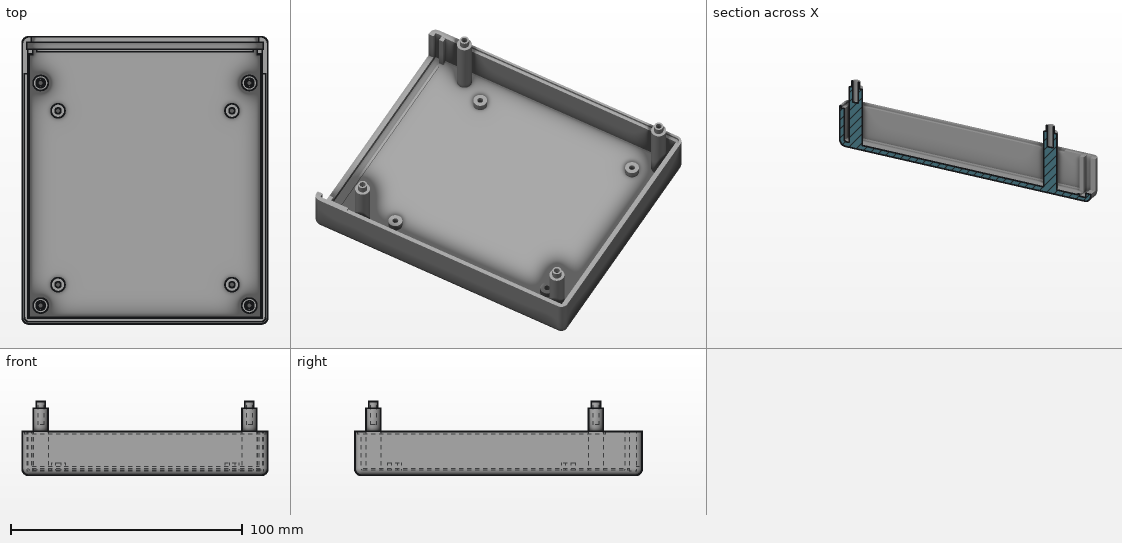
import cadquery as cq

LENGTH_X = 106.0
LENGTH_Y = 124.0
RIM_Z = 19.0
CORNER_R = 3.0

WALL = 2.5
FLOOR_Z = 2.5
FLOOR_CHAMFER = 0.5

RIM_LIP = 1.0
RABBET_DEPTH = 1.0
RABBET_END_Y = 46.0

OPENING_X = 98.0
SILL_Z = 4.0
SLOT_X = 102.0
SLOT_WIDTH = 3.0
SLOT_Z = FLOOR_Z - 0.5

GUIDE_X = 2.0
GUIDE_Y = 2.0
GUIDE_Z = RIM_Z - 0.1
GUIDE_FOOT = 0.3

LIP_X = 93.4
LIP_Y = 1.0
LIP_Z = FLOOR_Z + 0.5

POST_D = 6.5
POST_Z = 29.0
PIN_D = 4.0
PIN_Z = 32.0
POST_X = 45.0
POST_Y = (-54.0, 42.0)

BOSS_D = 6.0
BOSS_Z = FLOOR_Z + 3.0
BOSS_X = 37.5
BOSS_Y = (-45.0, 30.0)

HOLE_D = 2.5
PIN_HOLE_DEPTH = 10.0

BACK_Y = LENGTH_Y / 2
FRONT_Y = -BACK_Y
CAVITY_X = LENGTH_X - 2 * WALL
CAVITY_FRONT_Y = FRONT_Y + WALL
SLOT_BACK_Y = BACK_Y - WALL
SLOT_FRONT_Y = SLOT_BACK_Y - SLOT_WIDTH
GUIDE_FRONT_Y = SLOT_FRONT_Y - GUIDE_Y


def block(x_size, y_min, y_max, z_min, z_max):
    """Box centered on the YZ plane, spanning the given Y and Z ranges."""
    corner = cq.Workplane("XY", origin=(0, y_min, z_min))
    return corner.box(x_size, y_max - y_min, z_max - z_min, centered=(True, False, False))


def tray_blank():
    """Solid outer block with round vertical corners and a round bottom edge."""
    blank = block(LENGTH_X, FRONT_Y, BACK_Y, 0, RIM_Z)
    return blank.edges("|Z").fillet(CORNER_R).faces("<Z").edges().fillet(CORNER_R)


def cavity():
    """Inner space in front of the slot, chamfered where the front and side walls meet the floor."""
    space = block(CAVITY_X, CAVITY_FRONT_Y, SLOT_FRONT_Y, FLOOR_Z, RIM_Z)
    return space.faces("<Z").edges("<X or >X or <Y").chamfer(FLOOR_CHAMFER)


def panel_guide(side):
    """Upright bar on a side wall, in front of the slot, with a chamfered foot."""
    profile = [
        (SLOT_FRONT_Y, FLOOR_Z),
        (GUIDE_FRONT_Y - GUIDE_FOOT, FLOOR_Z),
        (GUIDE_FRONT_Y, FLOOR_Z + GUIDE_FOOT),
        (GUIDE_FRONT_Y, GUIDE_Z),
        (SLOT_FRONT_Y, GUIDE_Z),
    ]
    inner_x = CAVITY_X / 2 - GUIDE_X
    bar = cq.Workplane("YZ", origin=(inner_x, 0, 0)).polyline(profile).close().extrude(GUIDE_X)
    return bar if side > 0 else bar.mirror("YZ")


def rabbet():
    """Step along the inside of the rim on the front wall and most of the side walls."""
    width = LENGTH_X - 2 * RIM_LIP
    inset = block(width, FRONT_Y + RIM_LIP, RABBET_END_Y, RIM_Z - RABBET_DEPTH, RIM_Z)
    return inset.edges("|Z and <Y").fillet(CORNER_R - RIM_LIP)


def panel_slot():
    """Slot for a rear panel and the opening above the rear sill."""
    slot = block(SLOT_X, SLOT_FRONT_Y, SLOT_BACK_Y, SLOT_Z, RIM_Z)
    return slot.union(block(OPENING_X, SLOT_BACK_Y, BACK_Y, SILL_Z, RIM_Z))


def slot_lip():
    """Low rib on the floor along the front of the slot."""
    return block(LIP_X, SLOT_FRONT_Y - LIP_Y, SLOT_FRONT_Y, FLOOR_Z, LIP_Z)


def cylinders(diameter, z_min, z_max, x_offset, y_positions):
    """Four upright cylinders, mirrored about the YZ plane."""
    centers = [(side * x_offset, y) for side in (-1, 1) for y in y_positions]
    return (
        cq.Workplane("XY", origin=(0, 0, z_min))
        .pushPoints(centers)
        .circle(diameter / 2)
        .extrude(z_max - z_min)
    )


def posts():
    """Tall posts, each with a thinner pin on top."""
    columns = cylinders(POST_D, FLOOR_Z, POST_Z, POST_X, POST_Y)
    return columns.union(cylinders(PIN_D, FLOOR_Z, PIN_Z, POST_X, POST_Y))


def bosses():
    """Low screw bosses on the floor."""
    return cylinders(BOSS_D, FLOOR_Z, BOSS_Z, BOSS_X, BOSS_Y)


def screw_holes():
    """Blind holes in the pins, and holes down to the floor in the bosses."""
    pin_holes = cylinders(HOLE_D, PIN_Z - PIN_HOLE_DEPTH, PIN_Z, POST_X, POST_Y)
    boss_holes = cylinders(HOLE_D, FLOOR_Z, BOSS_Z, BOSS_X, BOSS_Y)
    return pin_holes.union(boss_holes)


tray = tray_blank().cut(cavity()).cut(rabbet()).cut(panel_slot())
tray = tray.union(slot_lip())
for wall_side in (-1, 1):
    tray = tray.union(panel_guide(wall_side))

result = tray.union(posts()).union(bosses()).cut(screw_holes())